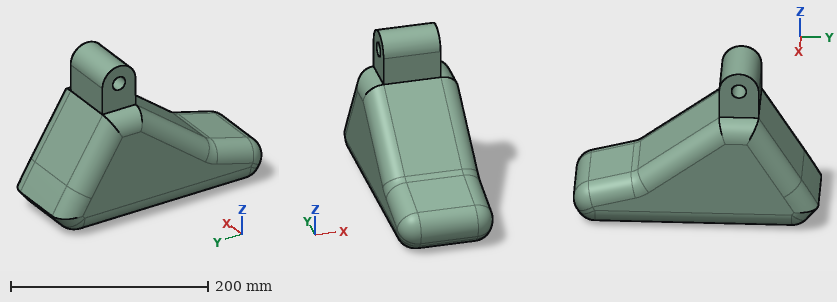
import cadquery as cq

body_width = 100.0
edge_radius = body_width / 5
body_height = 120.0

lug_radius = edge_radius
lug_width = body_width - 2 * edge_radius
lug_center_y = 167.7
lug_center_z = 150.0
hole_diameter = 15

toe_bottom = (11.2, 0)
toe_top = (-11.5, 36.0)
instep = (61.9, 55.7)
top_front = (lug_center_y - lug_radius, body_height)
top_back = (lug_center_y + lug_radius, body_height)
heel_curve_start = (230.8, 50.7)
heel_tip = (248.5, 20.9)
heel_bottom = (231.3, 0)
instep_radius = 20


def cross_edge(y, z):
    """Select the edge running along X through the profile corner (y, z)."""
    margin = 0.2
    half_length = body_width / 2 + margin
    return cq.selectors.BoxSelector(
        (-half_length, y - margin, z - margin),
        (half_length, y + margin, z + margin),
    )


def make_body():
    """Extrude the side profile, then round its corners and both side outlines."""
    body = (
        cq.Workplane("YZ")
        .polyline([heel_bottom, toe_bottom, toe_top, instep, top_front, top_back, heel_curve_start])
        .tangentArcPoint(heel_tip, relative=False)
        .close()
        .extrude(body_width / 2, both=True)
    )
    body = body.edges(cross_edge(*instep)).fillet(instep_radius)
    rounded = body.faces("<X or >X").edges()
    for corner in (toe_bottom, toe_top, heel_bottom):
        rounded = rounded.add(body.edges(cross_edge(*corner)))
    return rounded.fillet(edge_radius)


def make_lug():
    """Upright tab with a round top, standing on the flat top of the body."""
    return (
        cq.Workplane("YZ")
        .moveTo(*top_front)
        .lineTo(top_front[0], lug_center_z)
        .threePointArc(
            (lug_center_y, lug_center_z + lug_radius),
            (top_back[0], lug_center_z),
        )
        .lineTo(*top_back)
        .close()
        .extrude(lug_width / 2, both=True)
    )


def make_hole():
    """Pin hole through the lug along X."""
    return (
        cq.Workplane("YZ")
        .center(lug_center_y, lug_center_z)
        .circle(hole_diameter / 2)
        .extrude(lug_width / 2, both=True)
    )


result = make_body().union(make_lug()).cut(make_hole())